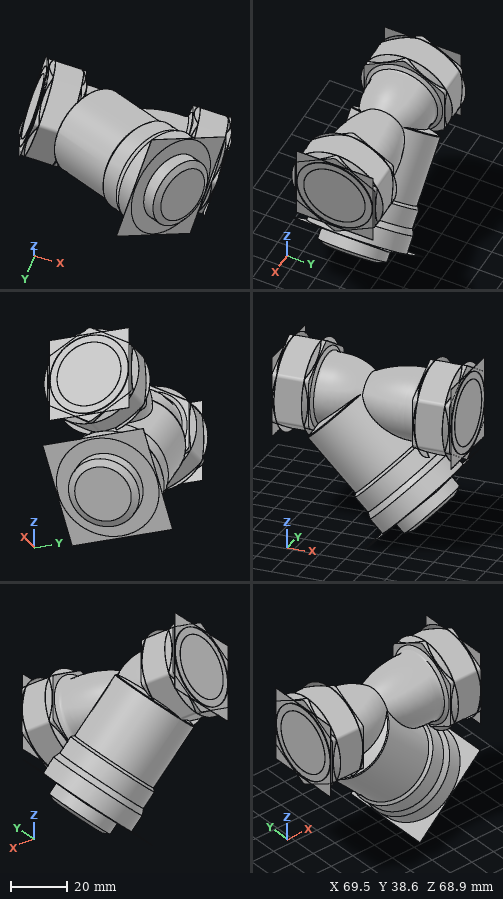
import cadquery as cq
import math

overall_length = 69.5
hex_outer_x = 34.3
hex_inner_x = 20.0
hex_across_flats = 31.95
hex_corner_radius = 1.7

collar_small_radius = 15.55
collar_large_radius = 18.2
collar_length = 1.8
collar_thickness = 0.105

end_ring_radius = 15.0
bore_mark_radius = 12.2
bore_mark_depth = 0.1
end_plate_width = 30.6
end_plate_height = 31.1
plate_thickness = 0.105

neck_radius = 13.35
neck_end_x = 15.85
neck_start_x = 18.05
flare_radius = 15.3
flare_end_x = 19.1
flare_end_radius = 13.75
waist_x = -2.6
waist_radius = 9.0

branch_angle = 45.0
branch_offset = 13.9
branch_radius = 16.8
branch_start = -5.35
branch_edge_chamfer = 0.35
branch_crown_height = 1.45
branch_crown_radius = 10.4
first_step_start = 20.9
first_step_end = 21.95
first_step_radius = 17.85
second_step_start = 29.0
second_step_end = 31.35
second_step_radius = 18.9
branch_end = 38.2
branch_plate_width = 38.6
branch_plate_length = 39.3

cap_radius = 13.05
cap_shoulder = 43.15
cap_end = 44.4
cap_end_radius = 10.4


def branch_frame():
    """Plane whose normal runs down the branch axis and whose local Y is the global Y."""
    slope = math.radians(branch_angle)
    nearest_point = (-branch_offset * math.sin(slope), 0, -branch_offset * math.cos(slope))
    across = (-math.sin(slope), 0, -math.cos(slope))
    along = (math.cos(slope), 0, -math.sin(slope))
    return cq.Plane(origin=nearest_point, xDir=across, normal=along)


def tangent_arc_middle(tangent_point, far_point):
    """Middle of the arc that leaves tangent_point parallel to X and ends at far_point."""
    run = far_point[0] - tangent_point[0]
    rise = far_point[1] - tangent_point[1]
    centre_height = (run**2 + rise**2) / (2 * rise)
    half_run = run / 2
    half_rise = centre_height - math.copysign(math.sqrt(centre_height**2 - half_run**2), rise)
    return (tangent_point[0] + half_run, tangent_point[1] + half_rise)


def make_run():
    """Flares, necks and waist, turned around the X axis."""
    waist = (waist_x, waist_radius)
    left_flare_end = (-flare_end_x, flare_end_radius)
    left_neck_start = (-neck_start_x, neck_radius)
    left_neck_end = (-neck_end_x, neck_radius)
    right_neck_end = (neck_end_x, neck_radius)
    right_neck_start = (neck_start_x, neck_radius)
    right_flare_end = (flare_end_x, flare_end_radius)
    profile = (
        cq.Workplane("XY")
        .moveTo(-hex_inner_x, 0)
        .lineTo(-hex_inner_x, flare_radius)
        .lineTo(*left_flare_end)
        .threePointArc(tangent_arc_middle(left_neck_start, left_flare_end), left_neck_start)
        .lineTo(*left_neck_end)
        .threePointArc(tangent_arc_middle(left_neck_end, waist), waist)
        .threePointArc(tangent_arc_middle(right_neck_end, waist), right_neck_end)
        .lineTo(*right_neck_start)
        .threePointArc(tangent_arc_middle(right_neck_start, right_flare_end), right_flare_end)
        .lineTo(hex_inner_x, flare_radius)
        .lineTo(hex_inner_x, 0)
        .close()
    )
    return profile.revolve(360, (0, 0, 0), (1, 0, 0))


def make_collar(small_x, large_x):
    """Thin cone shell around the X axis, opening from small_x to large_x."""
    shift = math.copysign(collar_thickness, large_x - small_x)
    profile = cq.Workplane("XY").polyline([
        (small_x, collar_small_radius),
        (large_x, collar_large_radius),
        (large_x + shift, collar_large_radius),
        (small_x + shift, collar_small_radius),
    ]).close()
    return profile.revolve(360, (0, 0, 0), (1, 0, 0))


def make_hex_end():
    """Hexagonal end on the +X side, with its collars, end ring and end plate."""
    corner_diameter = hex_across_flats / math.cos(math.radians(30))
    end_x = overall_length / 2
    plate_outer_x = end_x - bore_mark_depth
    plate_inner_x = plate_outer_x - plate_thickness

    hexagon = (
        cq.Workplane("YZ", origin=(hex_inner_x, 0, 0))
        .transformed(rotate=(0, 0, 90))
        .polygon(6, corner_diameter)
        .extrude(hex_outer_x - hex_inner_x)
        .edges("|X")
        .fillet(hex_corner_radius)
    )
    ring = (
        cq.Workplane("YZ", origin=(hex_outer_x, 0, 0))
        .circle(end_ring_radius)
        .extrude(end_x - hex_outer_x)
    )
    plate = (
        cq.Workplane("YZ", origin=(plate_inner_x, 0, 0))
        .rect(end_plate_width, end_plate_height)
        .extrude(plate_thickness)
    )
    bore_mark = (
        cq.Workplane("YZ", origin=(plate_outer_x, 0, 0))
        .circle(bore_mark_radius)
        .extrude(bore_mark_depth)
    )
    outer_collar = make_collar(hex_outer_x, hex_outer_x - collar_length)
    inner_collar = make_collar(hex_inner_x, hex_inner_x + collar_length)
    return hexagon.union(ring).union(plate).cut(bore_mark).union(outer_collar).union(inner_collar)


def make_branch():
    """Stepped branch, turned around its own axis, with the square plate at its open end."""
    frame = branch_frame()
    profile_plane = cq.Plane(origin=frame.origin, xDir=frame.xDir, normal=frame.yDir.multiply(-1))
    profile = cq.Workplane(profile_plane).polyline([
        (0, branch_start - branch_crown_height),
        (branch_crown_radius, branch_start - branch_crown_height),
        (branch_radius - branch_edge_chamfer, branch_start),
        (branch_radius, branch_start + branch_edge_chamfer),
        (branch_radius, first_step_start),
        (first_step_radius, first_step_end),
        (first_step_radius, second_step_start),
        (second_step_radius, second_step_end),
        (second_step_radius, branch_end),
        (0, branch_end),
    ]).close()
    stepped = profile.revolve(360, (0, 0, 0), (0, 1, 0))
    plate = (
        cq.Workplane(frame)
        .workplane(offset=branch_end - plate_thickness)
        .rect(branch_plate_length, branch_plate_width)
        .extrude(plate_thickness)
    )
    return stepped.union(plate)


def make_housing():
    right_end = make_hex_end()
    left_end = right_end.mirror("YZ")
    return make_run().union(right_end).union(left_end).union(make_branch())


def make_cap():
    """Round cap seated on the end of the branch, with a coned rim."""
    return (
        cq.Workplane(branch_frame())
        .workplane(offset=branch_end)
        .circle(cap_radius)
        .extrude(cap_end - branch_end)
        .faces(">(1, 0, -1)")
        .chamfer(cap_end - cap_shoulder, cap_radius - cap_end_radius)
    )


housing = make_housing()
cap = make_cap()
result = cq.Compound.makeCompound([housing.val(), cap.val()])